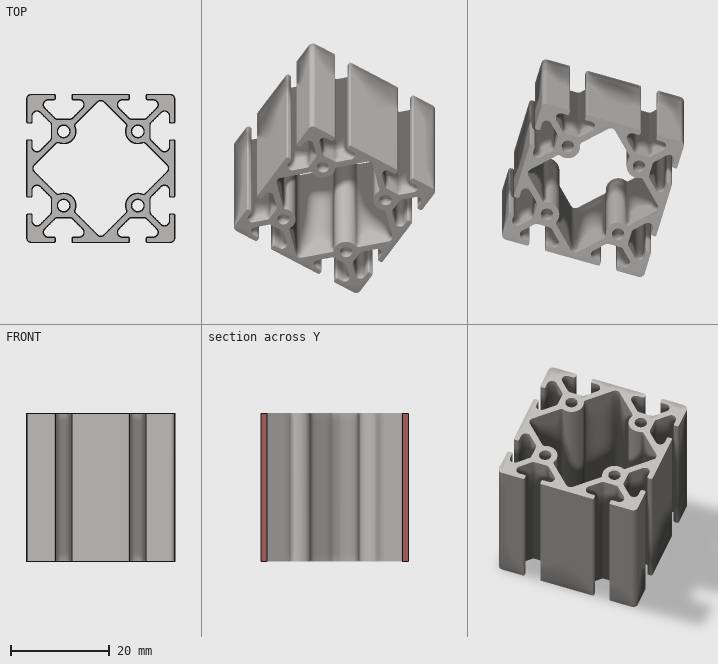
import cadquery as cq
import math

side = 30.0
length = 30.0
corner_radius = 1.0

channel_inset = 7.5
channel_spacing = side - 2 * channel_inset
bore_diameter = 2.5
boss_radius = bore_diameter

mouth_width = 3.4
lip_thickness = 1.1
lip_radius = 0.3
slot_depth = channel_inset - boss_radius
undercut_radius = 1.0
floor_radius = 0.75

web_thickness = 1.25
web_half_span = web_thickness / math.sqrt(2)
cavity_tip_radius = 1.0
boss_blend_radius = 0.5

match_tolerance = 0.003


def channel_cylinders(radius):
    """Full-length upright cylinders on the four screw channel axes."""
    return (
        cq.Workplane("XY")
        .rect(channel_spacing, channel_spacing, forConstruction=True)
        .vertices()
        .circle(radius)
        .extrude(length)
    )


def undercut_half_width(depth):
    """Half width of the slot between its 45 degree webs, at a depth below the outer face."""
    return channel_inset - web_half_span - depth


def make_slot():
    """T-slot cutter centred on x = 0, opening through the face at y = side / 2."""
    lip_y = side / 2 - lip_thickness
    floor_y = side / 2 - slot_depth
    wide = undercut_half_width(lip_thickness)
    narrow = undercut_half_width(slot_depth)
    undercut = (
        cq.Workplane("XY")
        .polyline([(-wide, lip_y), (wide, lip_y), (narrow, floor_y), (-narrow, floor_y)])
        .close()
        .extrude(length)
    )
    undercut = undercut.faces(">Y").edges("|Z").fillet(undercut_radius)
    undercut = undercut.faces("<Y").edges("|Z").fillet(floor_radius)
    mouth = (
        cq.Workplane("XY")
        .center(0, side / 2)
        .rect(mouth_width, 2 * lip_thickness)
        .extrude(length)
    )
    return undercut.union(mouth)


def make_cavity():
    """Diamond-shaped central cavity, notched by the four screw channel bosses."""
    tip = side / 2 - web_half_span
    diamond = (
        cq.Workplane("XY")
        .polyline([(tip, 0), (0, tip), (-tip, 0), (0, -tip)])
        .close()
        .extrude(length)
        .edges("|Z")
        .fillet(cavity_tip_radius)
    )
    notched = diamond.cut(channel_cylinders(boss_radius))

    def on_boss(edge):
        center = edge.Center()
        offset = math.hypot(abs(center.x) - channel_spacing / 2, abs(center.y) - channel_spacing / 2)
        return abs(offset - boss_radius) < match_tolerance

    return notched.edges("|Z").filter(on_boss).fillet(boss_blend_radius)


def is_lip_edge(edge):
    """True for the upright edges at the inner and outer corners of the slot lips."""
    center = edge.Center()
    across, outward = sorted((abs(center.x), abs(center.y)))
    at_mouth = abs(abs(across - channel_spacing / 2) - mouth_width / 2) < match_tolerance
    return at_mouth and outward > side / 2 - lip_thickness - match_tolerance


body = cq.Workplane("XY").rect(side, side).extrude(length).edges("|Z").fillet(corner_radius)

slot = make_slot()
for turn in range(4):
    for slot_x in (-channel_spacing / 2, channel_spacing / 2):
        placed_slot = slot.translate((slot_x, 0, 0)).rotate((0, 0, 0), (0, 0, 1), 90 * turn)
        body = body.cut(placed_slot)
body = body.edges("|Z").filter(is_lip_edge).fillet(lip_radius)

body = body.cut(make_cavity())

result = body.cut(channel_cylinders(bore_diameter / 2))